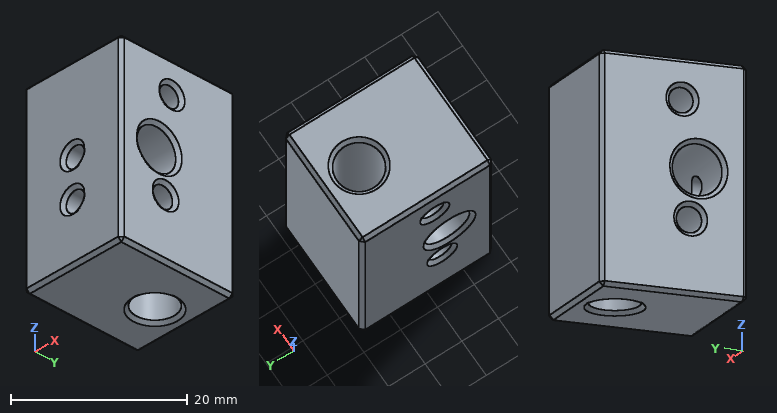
import cadquery as cq

width = 16.0
depth = 18.0
height = 27.9
edge_chamfer = 0.5

rod_bore_diameter = 6.0
rod_bore_y = depth - 5.0

large_cross_diameter = 6.1
large_cross_y = 6.0
large_cross_z = 15.0
small_cross_diameter = 3.1
small_cross_y = 7.0
small_cross_z = 9.0
upper_cross_diameter = 3.0
upper_cross_y = 8.0
upper_cross_z = 23.0

screw_diameter = 3.0

mouth_chamfer = 0.5


def mouth(diameter, point, direction):
    """Conical countersink that narrows from a face into the block."""
    radius = diameter / 2
    return cq.Solid.makeCone(radius + mouth_chamfer, radius, mouth_chamfer, point, direction)


def hole(diameter, length, point, direction):
    """Straight hole with a countersunk entry."""
    bore = cq.Solid.makeCylinder(diameter / 2, length, point, direction)
    return bore.fuse(mouth(diameter, point, direction))


def through_hole(diameter, length, point, direction):
    """Hole right through the block, countersunk at both ends."""
    exit_point = point + direction * length
    return hole(diameter, length, point, direction).fuse(mouth(diameter, exit_point, -direction))


def cross_bore(diameter, y, z):
    """Bore through the full width of the block."""
    return through_hole(diameter, width, cq.Vector(-width / 2, y, z), cq.Vector(1, 0, 0))


def screw_hole(target_y, target_z):
    """Screw hole from the front face to the axis of a cross bore."""
    return hole(screw_diameter, target_y, cq.Vector(0, 0, target_z), cq.Vector(0, 1, 0))


block = (
    cq.Workplane("XY")
    .box(width, depth, height, centered=(True, False, False))
    .edges()
    .chamfer(edge_chamfer)
)

rod_bore = through_hole(rod_bore_diameter, height, cq.Vector(0, rod_bore_y, 0), cq.Vector(0, 0, 1))

cutters = [
    rod_bore,
    cross_bore(large_cross_diameter, large_cross_y, large_cross_z),
    cross_bore(small_cross_diameter, small_cross_y, small_cross_z),
    cross_bore(upper_cross_diameter, upper_cross_y, upper_cross_z),
    screw_hole(large_cross_y, large_cross_z),
    screw_hole(small_cross_y, small_cross_z),
]

result = block
for cutter in cutters:
    result = result.cut(cq.Workplane(obj=cutter))